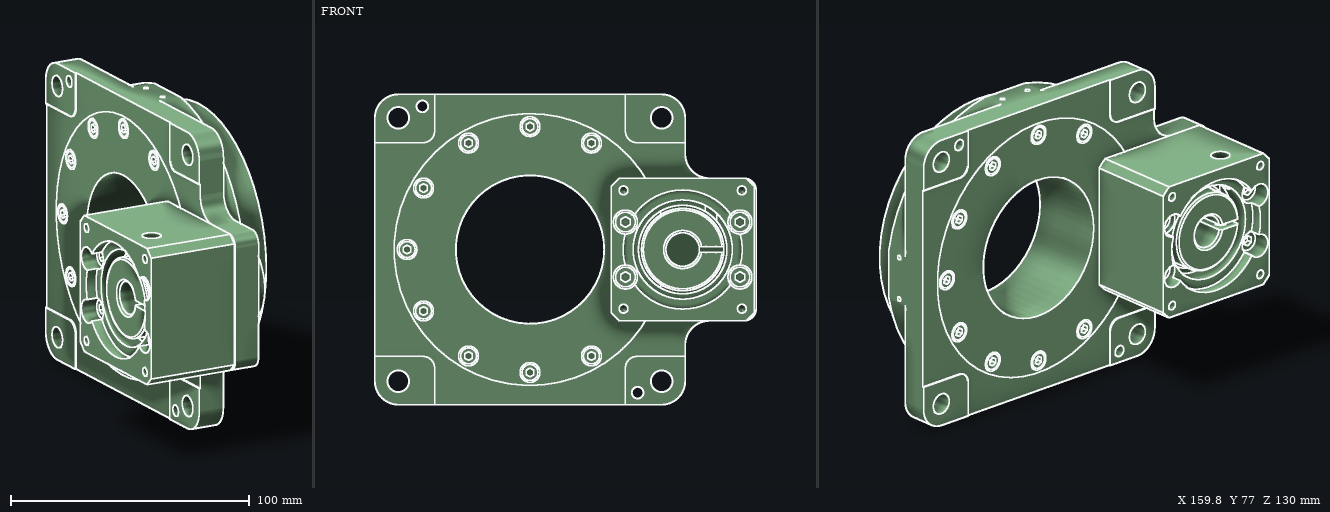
import cadquery as cq
import math


plate_side = 130.0
plate_thickness = 11.2
plate_corner_radius = 10.0
pad_height = 0.5
pad_width = 25.1
pad_length = 20.3
pad_corner_radius = 4.8
mounting_hole_offset = 55.1
mounting_hole_diameter = 9.0
dowel_x = 45.0
dowel_z = 60.0
dowel_diameter = 4.8
flange_thickness = 10.0
flange_radius = 66.0
edge_hole_diameter = 1.9
edge_hole_depth = 4.8
edge_hole_from_plate = 3.7
top_hole_offset = 7.0
side_hole_offset = 9.5

motor_x = 63.9
lobe_reach = 94.8
lobe_corner_radius = 5.3
lobe_blend_radius = 10.0
gear_boss_radius = 18.4
gear_boss_blend_radius = 10.9

table_radius = 56.9
table_height = 15.7
table_edge_radius = 1.0
bore_radius = 31.0
centering_recess_radius = 35.2
centering_recess_depth = 3.2
table_screw_count = 12
table_screw_circle_radius = 51.5
table_screw_recess_diameter = 8.3
table_screw_head_diameter = 6.7
table_screw_recess_depth = 4.0
table_screw_head_height = table_screw_recess_depth
table_screw_socket_flats = 3.2

mount_side = 59.8
mount_length = 40.1
mount_edge_chamfer = 3.4
pilot_radius = 25.0
pilot_depth = 4.8
mount_bore_radius = 20.8
mount_bore_depth = 13.7
hub_passage_radius = 18.5
motor_hole_offset = 24.8
motor_hole_diameter = 3.7
motor_hole_depth = 8.0
drill_point_angle = 118.0
mount_screw_x = 24.0
mount_screw_z = 11.5
mount_screw_recess_diameter = 10.0
mount_screw_recess_depth = 11.7
mount_screw_head_diameter = 8.3
mount_screw_head_height = 4.8
mount_screw_socket_flats = 3.8
access_hole_diameter = 8.0

hub_radius = 17.3
hub_recess = 5.0
hub_edge_chamfer = 0.8
hub_bore_radius = 7.0
hub_bore_depth = 25.5
hub_bore_chamfer = 1.0
hub_slit_width = 2.4
hub_slit_depth = 19.2
clamp_screw_x = 11.8
clamp_screw_from_front = 10.5
clamp_screw_diameter = 4.5
clamp_screw_seat_z = 4.8
clamp_screw_head_diameter = 8.3

screw_socket_depth = 2.4

pad_face = -pad_height
flange_back = plate_thickness + flange_thickness
table_back = flange_back + table_height
mount_front = -mount_length
hub_front = mount_front + hub_recess
clamp_screw_y = mount_front + clamp_screw_from_front
plate_half = plate_side / 2
mount_half = mount_side / 2


def profile_plane(y, x=0.0, z=0.0):
    """Sketch plane at height y with local X = X and local Y = Z; it extrudes towards -Y."""
    return cq.Workplane("XZ", origin=(x, y, z))


def cylinder(radius, front, back, x=0.0, z=0.0):
    """Cylinder along Y between two Y positions."""
    return profile_plane(back, x, z).circle(radius).extrude(back - front)


def screw_recess(recess_diameter, recess_depth, head_diameter, head_height, socket_flats, face):
    """Material to remove around a sunken socket screw: the ring around its head and its hex socket."""
    floor = face + recess_depth
    head_top = floor - head_height
    recess = cylinder(recess_diameter / 2, face, floor)
    head = cylinder(head_diameter / 2, head_top, floor)
    socket_corners = socket_flats / math.cos(math.pi / 6)
    socket = (
        profile_plane(head_top + screw_socket_depth)
        .transformed(rotate=(0, 0, 30))
        .polygon(6, socket_corners)
        .extrude(screw_socket_depth)
    )
    return recess.cut(head).union(socket)


def make_plate():
    """Square plate with the side lobe blended into its +X edge."""
    plate = profile_plane(plate_thickness).rect(plate_side, plate_side).extrude(plate_thickness)
    plate = plate.edges("|Y").fillet(plate_corner_radius)
    lobe = (
        profile_plane(plate_thickness, lobe_reach / 2)
        .rect(lobe_reach, mount_side)
        .extrude(plate_thickness)
        .edges("|Y and >X")
        .fillet(lobe_corner_radius)
    )
    plate = plate.union(lobe)
    for side in (-1, 1):
        inner_corner = (plate_half, plate_thickness / 2, side * mount_half)
        corner_edge = cq.selectors.NearestToPointSelector(inner_corner)
        plate = plate.edges(corner_edge).fillet(lobe_blend_radius)
    return plate


def make_pads():
    """Four thin mounting pads, one on each plate corner."""
    square = profile_plane(0).rect(plate_side, plate_side).extrude(pad_height)
    square = square.edges("|Y").fillet(plate_corner_radius)
    blanks = cq.Workplane("XZ")
    for sign_x in (-1, 1):
        for sign_z in (-1, 1):
            blank = (
                profile_plane(0, sign_x * plate_half, sign_z * plate_half)
                .rect(2 * pad_width, 2 * pad_length)
                .extrude(pad_height)
                .edges("|Y")
                .fillet(pad_corner_radius)
            )
            blanks = blanks.add(blank)
    return blanks.combine().intersect(square)


def make_gear_boss():
    """Rounded boss around the motor axis, blended tangentially into the round flange."""
    to_flange = flange_radius + gear_boss_blend_radius
    to_boss = gear_boss_radius + gear_boss_blend_radius
    blend_x = (to_flange**2 - to_boss**2 + motor_x**2) / (2 * motor_x)
    blend_z = math.sqrt(to_flange**2 - blend_x**2)
    flange_share = flange_radius / to_flange
    boss_share = gear_boss_radius / to_boss
    flange_touch = (blend_x * flange_share, blend_z * flange_share)
    boss_touch = (motor_x + (blend_x - motor_x) * boss_share, blend_z * boss_share)
    middle_x = (flange_touch[0] + boss_touch[0]) / 2 - blend_x
    middle_z = (flange_touch[1] + boss_touch[1]) / 2 - blend_z
    scale = gear_boss_blend_radius / math.hypot(middle_x, middle_z)
    blend_middle = (blend_x + middle_x * scale, blend_z + middle_z * scale)

    def mirrored(point):
        return (point[0], -point[1])

    return (
        profile_plane(flange_back)
        .moveTo(*flange_touch)
        .threePointArc(blend_middle, boss_touch)
        .threePointArc((motor_x + gear_boss_radius, 0), mirrored(boss_touch))
        .threePointArc(mirrored(blend_middle), mirrored(flange_touch))
        .close()
        .extrude(flange_thickness)
    )


def make_housing():
    """Plate, pads, round flange and gear boss, with the seat that the turntable turns in."""
    flange = cylinder(flange_radius, plate_thickness, flange_back)
    square = profile_plane(flange_back).rect(plate_side, plate_side).extrude(flange_thickness)
    housing = make_plate().union(make_pads()).union(flange.intersect(square)).union(make_gear_boss())

    housing = housing.cut(cylinder(table_radius, 0, flange_back))
    for sign_x in (-1, 1):
        for sign_z in (-1, 1):
            hole_x = sign_x * mounting_hole_offset
            hole_z = sign_z * mounting_hole_offset
            housing = housing.cut(
                cylinder(mounting_hole_diameter / 2, pad_face, plate_thickness, hole_x, hole_z)
            )
    for sign in (-1, 1):
        housing = housing.cut(
            cylinder(dowel_diameter / 2, pad_face, plate_thickness, -sign * dowel_x, sign * dowel_z)
        )

    hole_y = plate_thickness + edge_hole_from_plate
    for sign in (-1, 1):
        top_hole = (
            cq.Workplane("XY", origin=(sign * top_hole_offset, hole_y, plate_half))
            .circle(edge_hole_diameter / 2)
            .extrude(-edge_hole_depth)
        )
        side_hole = (
            cq.Workplane("YZ", origin=(-plate_half, hole_y, sign * side_hole_offset))
            .circle(edge_hole_diameter / 2)
            .extrude(edge_hole_depth)
        )
        housing = housing.cut(top_hole).cut(side_hole)
    return housing


def make_turntable():
    """Ring that passes through the housing, with sunken screws on its motor-side face."""
    table = cylinder(table_radius, 0, table_back)
    table = table.faces(">Y").edges().fillet(table_edge_radius)
    table = table.cut(cylinder(bore_radius, 0, table_back))
    recess_floor = table_back - centering_recess_depth
    table = table.cut(cylinder(centering_recess_radius, recess_floor, table_back))
    recess = screw_recess(
        table_screw_recess_diameter,
        table_screw_recess_depth,
        table_screw_head_diameter,
        table_screw_head_height,
        table_screw_socket_flats,
        0,
    )
    for i in range(table_screw_count):
        angle = 2 * math.pi * i / table_screw_count
        screw_x = table_screw_circle_radius * math.cos(angle)
        screw_z = table_screw_circle_radius * math.sin(angle)
        table = table.cut(recess.translate((screw_x, 0, screw_z)))
    return table


def make_drilled_hole(diameter, depth, face):
    """Blind hole along +Y from a face, ending in a conical drill point."""
    radius = diameter / 2
    point_length = radius / math.tan(math.radians(drill_point_angle / 2))
    return (
        cq.Workplane("XY")
        .moveTo(0, face)
        .lineTo(radius, face)
        .lineTo(radius, face + depth)
        .lineTo(0, face + depth + point_length)
        .close()
        .revolve(360, (0, 0, 0), (0, 1, 0))
    )


def make_mount():
    """Square block around the hub, open towards the motor and screwed to the lobe."""
    mount = profile_plane(0, motor_x).rect(mount_side, mount_side).extrude(mount_length)
    mount = mount.edges("|Y").chamfer(mount_edge_chamfer)

    mount = mount.cut(cylinder(pilot_radius, mount_front, mount_front + pilot_depth, motor_x))
    mount = mount.cut(cylinder(mount_bore_radius, mount_front, mount_front + mount_bore_depth, motor_x))
    mount = mount.cut(cylinder(hub_passage_radius, mount_front, 0, motor_x))

    motor_hole = make_drilled_hole(motor_hole_diameter, motor_hole_depth, mount_front)
    recess = screw_recess(
        mount_screw_recess_diameter,
        mount_screw_recess_depth,
        mount_screw_head_diameter,
        mount_screw_head_height,
        mount_screw_socket_flats,
        mount_front,
    )
    for sign_x in (-1, 1):
        for sign_z in (-1, 1):
            hole_x = motor_x + sign_x * motor_hole_offset
            mount = mount.cut(motor_hole.translate((hole_x, 0, sign_z * motor_hole_offset)))
            screw_x = motor_x + sign_x * mount_screw_x
            mount = mount.cut(recess.translate((screw_x, 0, sign_z * mount_screw_z)))

    access_hole = (
        cq.Workplane("XY", origin=(motor_x + clamp_screw_x, clamp_screw_y, 0))
        .circle(access_hole_diameter / 2)
        .extrude(mount_half)
    )
    return mount.cut(access_hole)


def make_hub():
    """Split hub that clamps the motor shaft, with a clamp screw hole along Z."""
    hub = cylinder(hub_radius, hub_front, 0, motor_x)
    hub = hub.faces("<Y").edges().chamfer(hub_edge_chamfer)
    bore = cylinder(hub_bore_radius, hub_front, hub_front + hub_bore_depth, motor_x)
    hub = hub.cut(bore)
    bore_rim = cq.selectors.RadiusNthSelector(0)
    hub = hub.faces("<Y").edges(bore_rim).chamfer(hub_bore_chamfer)

    slit = (
        profile_plane(hub_front + hub_slit_depth, motor_x + hub_radius / 2)
        .rect(hub_radius, hub_slit_width)
        .extrude(hub_slit_depth)
    )
    clamp_plane = cq.Workplane("XY", origin=(motor_x + clamp_screw_x, clamp_screw_y, clamp_screw_seat_z))
    clamp_head = clamp_plane.circle(clamp_screw_head_diameter / 2).extrude(hub_radius)
    clamp_hole = clamp_plane.circle(clamp_screw_diameter / 2).extrude(2 * hub_radius, both=True)
    return hub.cut(slit).cut(clamp_head).cut(clamp_hole)


housing = make_housing()
turntable = make_turntable()
mount = make_mount()
hub = make_hub()

bodies = [housing, turntable, mount, hub]
result = cq.Compound.makeCompound([body.solids().val() for body in bodies])